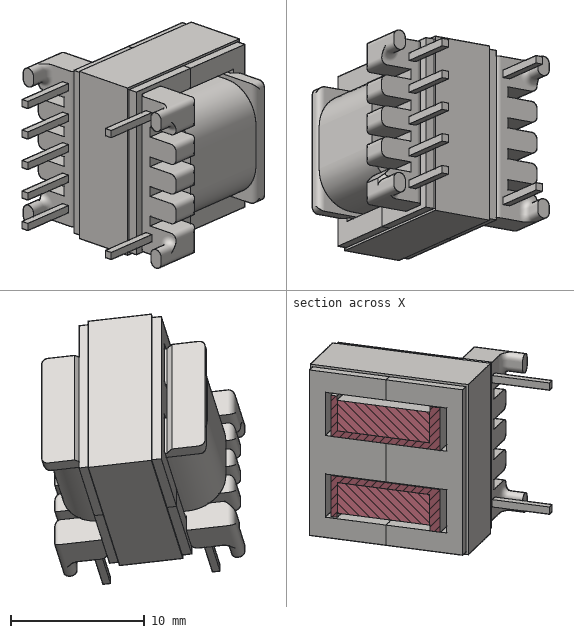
import cadquery as cq


core_width = 6.28
core_height = 13.25
core_half_length = 6.12
core_back_thickness = 1.28
window_height = 10.0
center_leg_height = 3.09
window_end_y = core_half_length - core_back_thickness

tape_width = 4.83
tape_thickness = 0.18

tube_clearance = 0.08
tube_wall = 0.5
web_outer_y = 4.36
winding_width = 12.47
winding_height = 9.08
winding_radius = 2.89
winding_front_y = -3.5
winding_back_y = 3.88
tube_bore_width = core_width + 2 * tube_clearance
tube_width = tube_bore_width + 2 * tube_wall
tube_height = center_leg_height + 2 * tube_wall

edge_radius = 0.5
back_flange_height = 9.75
recess_chamfer = window_end_y - web_outer_y
comb_width = 13.83
comb_height = 12.65
comb_front_y = -5.89
comb_inner_x = tube_bore_width / 2
comb_outer_x = comb_width / 2
slot_width = 0.79
slot_pitch = 2.42
slot_count = 4
slot_floor_x = 4.31
key_chamfer = 0.75

foot_end_y = -7.58
foot_width = 1.02
foot_height = 1.51
foot_flare = 0.5
foot_root = 0.5
notch_depth = 0.49
notch_width = 0.54
foot_x = (comb_width - foot_width) / 2
foot_z = (comb_height - foot_height) / 2

overall_length = 16.78
pin_size = 0.59
pin_pitch = 2.48
pin_x = 4.18
pin_tip_y = core_half_length + tape_thickness - overall_length
left_pin_rows = (-2, -1, 0, 1, 2)
right_pin_rows = (-2, 2)


def block(x_range, y_range, z_range):
    """Box between two limits on each axis."""
    sizes = [high - low for low, high in (x_range, y_range, z_range)]
    corner = cq.Vector(x_range[0], y_range[0], z_range[0])
    return cq.Workplane(cq.Solid.makeBox(*sizes, corner))


def centered_block(width, height, y_low, y_high):
    """Box centred on the Y axis between two Y positions."""
    return block((-width / 2, width / 2), (y_low, y_high), (-height / 2, height / 2))


def left_right(shape):
    """The shape joined with its mirror image across X = 0."""
    return shape.union(shape.mirror("YZ"))


def make_core_half():
    """E-shaped half on the +Y side: a back wall with a centre leg and two outer legs."""
    half = centered_block(core_width, core_height, 0, core_half_length)
    window = centered_block(core_width, window_height, 0, window_end_y)
    center_leg = centered_block(core_width, center_leg_height, 0, window_end_y)
    return half.cut(window).union(center_leg)


def make_tape():
    """Closed band round the outside of the core."""
    outer_y = core_half_length + tape_thickness
    band = centered_block(tape_width, core_height + 2 * tape_thickness, -outer_y, outer_y)
    return band.cut(centered_block(tape_width, core_height, -core_half_length, core_half_length))


def make_winding():
    """Rounded wire pack filling the space between the bobbin flanges."""
    pack = centered_block(winding_width, winding_height, winding_front_y, winding_back_y)
    pack = pack.edges("|Y").fillet(winding_radius)
    return pack.cut(centered_block(tube_width, tube_height, winding_front_y, winding_back_y))


def make_back_flange():
    """Flange at the +Y end, thinned where the core back wall passes."""
    half_width = winding_width / 2
    plan = (
        cq.Workplane("XY", origin=(0, 0, -back_flange_height / 2))
        .moveTo(0, winding_back_y)
        .lineTo(half_width - edge_radius, winding_back_y)
        .radiusArc((half_width, winding_back_y + edge_radius), -edge_radius)
        .lineTo(half_width, window_end_y)
        .lineTo(comb_inner_x + recess_chamfer, window_end_y)
        .lineTo(comb_inner_x, web_outer_y)
        .lineTo(0, web_outer_y)
        .close()
        .extrude(back_flange_height)
    )
    outline = centered_block(winding_width, back_flange_height, winding_back_y, window_end_y)
    return left_right(plan).intersect(outline.edges("|Y").fillet(edge_radius))


def make_web():
    """Thin wall joining the tube to both terminal combs, before it is bored."""
    return centered_block(tube_bore_width, window_height, -web_outer_y, winding_front_y)


def make_tube():
    """Rectangular tube that carries the winding round the centre legs, before it is bored."""
    return centered_block(tube_width, tube_height, winding_front_y, winding_back_y)


def make_comb_plan():
    """Right-hand terminal block, rounded on its outer back edge and inner front edge."""
    return (
        cq.Workplane("XY", origin=(0, 0, -comb_height / 2))
        .moveTo(comb_inner_x, winding_front_y)
        .lineTo(comb_outer_x - edge_radius, winding_front_y)
        .radiusArc((comb_outer_x, winding_front_y - edge_radius), edge_radius)
        .lineTo(comb_outer_x, comb_front_y)
        .lineTo(comb_inner_x + edge_radius, comb_front_y)
        .radiusArc((comb_inner_x, comb_front_y + edge_radius), edge_radius)
        .close()
        .extrude(comb_height)
    )


def make_comb_outline():
    """Front outline of the right-hand comb: round-cornered teeth, as deep as the feet reach."""
    depth = (foot_end_y, winding_front_y)
    outline = block((comb_inner_x, comb_outer_x), depth, (-comb_height / 2, comb_height / 2))
    for index in range(slot_count):
        slot_z = (index - (slot_count - 1) / 2) * slot_pitch
        slot_z_range = (slot_z - slot_width / 2, slot_z + slot_width / 2)
        outline = outline.cut(block((slot_floor_x, comb_outer_x), depth, slot_z_range))
    return outline.faces(">X").edges("|Y").fillet(edge_radius)


def make_foot_post(x, z):
    """Post with rounded ends, from inside the comb to the foot's tip."""
    return (
        cq.Workplane("XZ", origin=(x, comb_front_y + foot_root, z))
        .rect(foot_width, foot_height)
        .extrude(comb_front_y + foot_root - foot_end_y)
        .edges("|Y")
        .fillet(edge_radius)
    )


def make_flared_foot(z):
    """Right-hand foot with a concave flare where it meets the front of the comb."""
    pad = block(
        (foot_x - foot_height, foot_x + foot_height),
        (comb_front_y, comb_front_y + foot_root),
        (z - foot_height, z + foot_height),
    )
    foot = pad.union(make_foot_post(foot_x, z))
    pad_front_face = foot.faces("<Y[1]")
    root_edges = pad_front_face.edges("not(<X or >X or <Z or >Z)")
    return root_edges.fillet(foot_flare)


def make_comb():
    """Right-hand terminal comb with a flared foot at its top and bottom."""
    comb = make_comb_plan()
    for foot_center_z in (-foot_z, foot_z):
        comb = comb.union(make_flared_foot(foot_center_z))
    return comb.intersect(make_comb_outline())


def make_key_cut():
    """Polarity mark: a bevel on the bottom left tooth, notched where it runs into the foot."""
    corner_z = -(slot_count - 1) / 2 * slot_pitch - slot_width / 2
    bevel = (
        cq.Workplane("XZ", origin=(0, winding_front_y, 0))
        .polyline([
            (-comb_outer_x, corner_z),
            (-comb_outer_x + key_chamfer, corner_z),
            (-comb_outer_x, corner_z - key_chamfer),
        ])
        .close()
        .extrude(winding_front_y - foot_end_y)
    )
    notch_bottom_z = -foot_z + foot_height / 2 - edge_radius
    notch = (
        cq.Workplane("XY", origin=(0, 0, notch_bottom_z))
        .polyline([
            (-comb_outer_x, comb_front_y + notch_depth),
            (-comb_outer_x + notch_width, comb_front_y - foot_flare),
            (-comb_outer_x, comb_front_y - foot_flare),
        ])
        .close()
        .extrude(corner_z - notch_bottom_z)
    )
    return bevel.union(notch.cut(make_foot_post(-foot_x, -foot_z)))


def make_pin(x, row):
    """Square pin standing out of the front of a comb."""
    z = row * pin_pitch
    half = pin_size / 2
    return block((x - half, x + half), (pin_tip_y, comb_front_y), (z - half, z + half))


def make_bobbin():
    """Moulded bobbin with its two flanges, terminal combs and fixed pins."""
    bore = centered_block(tube_bore_width, center_leg_height, -web_outer_y, window_end_y)
    bobbin = make_tube().union(make_back_flange()).union(make_web()).union(left_right(make_comb()))
    bobbin = bobbin.cut(make_key_cut()).cut(bore)
    for x, rows in ((-pin_x, left_pin_rows), (pin_x, right_pin_rows)):
        for row in rows:
            bobbin = bobbin.union(make_pin(x, row))
    return bobbin


core_back = make_core_half()
core_front = core_back.mirror("XZ")
tape = make_tape()
winding = make_winding()
bobbin = make_bobbin()

result = cq.Compound.makeCompound(
    [
        *core_back.solids().vals(),
        *core_front.solids().vals(),
        *tape.solids().vals(),
        *winding.solids().vals(),
        *bobbin.solids().vals(),
    ]
)